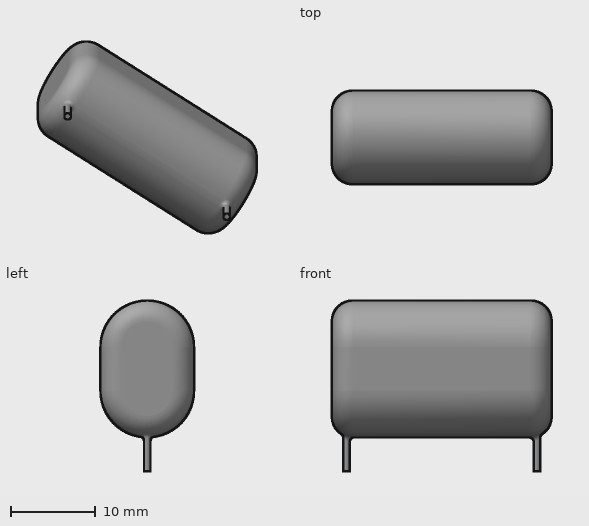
import cadquery as cq

body_length = 26.0
body_width = 11.1
body_height = 16.2
end_round = 2.5

lead_diameter = 0.8
lead_pitch = 22.5
lead_length = 4.0
lead_fillet = 0.5


def make_body():
    """Stadium section along X, resting on Z = 0, with both end rims rounded."""
    section = cq.Workplane("YZ").slot2D(body_height, body_width, angle=90)
    body = section.extrude(body_length / 2, both=True)
    body = body.faces("<X or >X").edges().fillet(end_round)
    return body.translate((0, 0, body_height / 2))


def make_leads():
    """Two straight round leads, running up into the body so that they join it."""
    places = [(-lead_pitch / 2, 0), (lead_pitch / 2, 0)]
    leads = cq.Workplane("XY").workplane(offset=-lead_length).pushPoints(places)
    return leads.circle(lead_diameter / 2).extrude(lead_length + end_round)


def round_lead_roots(part):
    """Fillet the curved seams where the leads leave the rounded underside."""
    reach = lead_pitch / 2 + lead_diameter
    root_zone = cq.selectors.BoxSelector(
        (-reach, -lead_diameter, -lead_diameter),
        (reach, lead_diameter, lead_diameter),
        boundingbox=True,
    )
    return part.edges(root_zone).edges("%BSPLINE").fillet(lead_fillet)


result = round_lead_roots(make_body().union(make_leads()))